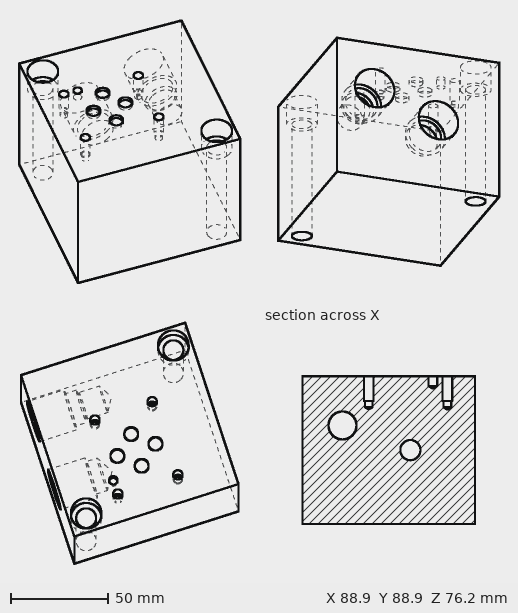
import cadquery as cq
import math

BLOCK_SIDE = 88.9
BLOCK_HEIGHT = 76.2

MOUNT_EDGE = 9.525
MOUNT_DIAMETER = 10.31
MOUNT_BORE_DIAMETER = 15.88
MOUNT_BORE_DEPTH = 12.7

PATTERN_X = BLOCK_SIDE / 2
PATTERN_Y = 33.34
REAR_BOLT_SPACING = 31.0
REAR_BOLT_OFFSET = 21.43
BOLT_ROW_SPACING = 40.5
PIN_OFFSET = 33.0
FRONT_BOLT_SPACING = 32.5
REAR_BOLT_Y = PATTERN_Y + REAR_BOLT_OFFSET
FRONT_BOLT_Y = REAR_BOLT_Y - BOLT_ROW_SPACING
BOLT_THREAD_DIAMETER = 4.83
BOLT_THREAD_DEPTH = 12.7
BOLT_DRILL_DIAMETER = 3.79
BOLT_DRILL_DEPTH = 16.0
VALVE_PORT_DIAMETER = 7.14
VALVE_PORT_DEPTH = 2.1
SIDE_PORT_SPACING = 20.62
CENTRE_PORT_SPACING = 17.5
PIN_X = PATTERN_X - FRONT_BOLT_SPACING / 2
PIN_Y = REAR_BOLT_Y - PIN_OFFSET
PIN_DIAMETER = 4.37
PIN_DEPTH = 5.0

PIPE_THREAD_DIAMETER = 21.59
PIPE_THREAD_DEPTH = 20.0
PIPE_DRILL_DIAMETER = 17.48
PIPE_DRILL_DEPTH = 26.0
PRESSURE_PORT_Y = PATTERN_Y
PRESSURE_PORT_Z = BLOCK_HEIGHT / 2
TANK_PORT_Y = 68.26
TANK_PORT_Z = 50.8
TANK_PASSAGE_DIAMETER = 14.29
TANK_PASSAGE_DEPTH = 38.0

DRILL_POINT_ANGLE = 118.0

DOWN = cq.Vector(0, 0, -1)
INWARD = cq.Vector(1, 0, 0)


def bore(start, direction, diameter, depth):
    """Flat-bottomed cylinder from a face into the block."""
    return cq.Solid.makeCylinder(diameter / 2, depth, start, direction)


def drilled_hole(start, direction, diameter, depth):
    """Cylinder of the given full-diameter depth, ending in a conical drill point."""
    radius = diameter / 2
    point_length = radius / math.tan(math.radians(DRILL_POINT_ANGLE / 2))
    point = cq.Solid.makeCone(radius, 0, point_length, start + direction * depth, direction)
    return bore(start, direction, diameter, depth).fuse(point)


def on_top(x, y):
    return cq.Vector(x, y, BLOCK_HEIGHT)


def on_side(y, z):
    return cq.Vector(0, y, z)


def mounting_holes():
    cutters = []
    for place in (MOUNT_EDGE, BLOCK_SIDE - MOUNT_EDGE):
        start = on_top(place, place)
        cutters.append(bore(start, DOWN, MOUNT_DIAMETER, BLOCK_HEIGHT))
        cutters.append(bore(start, DOWN, MOUNT_BORE_DIAMETER, MOUNT_BORE_DEPTH))
    return cutters


def valve_bolt_holes():
    cutters = []
    for spacing, y in ((REAR_BOLT_SPACING, REAR_BOLT_Y), (FRONT_BOLT_SPACING, FRONT_BOLT_Y)):
        for side in (-1, 1):
            start = on_top(PATTERN_X + side * spacing / 2, y)
            cutters.append(bore(start, DOWN, BOLT_THREAD_DIAMETER, BOLT_THREAD_DEPTH))
            cutters.append(drilled_hole(start, DOWN, BOLT_DRILL_DIAMETER, BOLT_DRILL_DEPTH))
    return cutters


def valve_ports():
    cutters = []
    for side in (-1, 1):
        side_port = on_top(PATTERN_X + side * SIDE_PORT_SPACING / 2, PATTERN_Y)
        centre_port = on_top(PATTERN_X, PATTERN_Y + side * CENTRE_PORT_SPACING / 2)
        for start in (side_port, centre_port):
            cutters.append(drilled_hole(start, DOWN, VALVE_PORT_DIAMETER, VALVE_PORT_DEPTH))
    return cutters


def locating_pin_hole():
    return drilled_hole(on_top(PIN_X, PIN_Y), DOWN, PIN_DIAMETER, PIN_DEPTH)


def pipe_port(start):
    return [
        bore(start, INWARD, PIPE_THREAD_DIAMETER, PIPE_THREAD_DEPTH),
        drilled_hole(start, INWARD, PIPE_DRILL_DIAMETER, PIPE_DRILL_DEPTH),
    ]


def pressure_port():
    return pipe_port(on_side(PRESSURE_PORT_Y, PRESSURE_PORT_Z))


def tank_port():
    start = on_side(TANK_PORT_Y, TANK_PORT_Z)
    passage = drilled_hole(start, INWARD, TANK_PASSAGE_DIAMETER, TANK_PASSAGE_DEPTH)
    return pipe_port(start) + [passage]


cutters = mounting_holes() + valve_bolt_holes() + valve_ports() + pressure_port() + tank_port()
cutters.append(locating_pin_hole())

part = cq.Workplane("XY").box(BLOCK_SIDE, BLOCK_SIDE, BLOCK_HEIGHT, centered=False)
for cutter in cutters:
    part = part.cut(cq.Workplane(cutter))

result = part